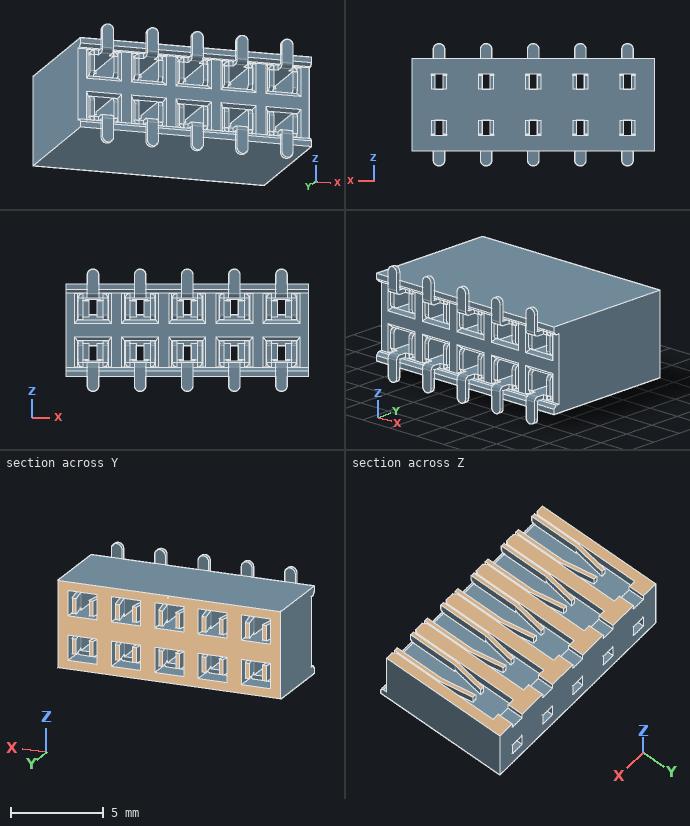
import cadquery as cq

body_width = 13.1
body_depth = 8.4
body_height = 5.0
lead_reach = 0.3
lead_front_y = -(body_depth + lead_reach) / 2
body_front_y = lead_front_y + lead_reach
body_back_y = body_front_y + body_depth

recess_depth = 0.4
recess_half_height = 2.0
lip_chamfer = 0.18
recess_y = body_front_y + recess_depth

columns = 5
pitch = 2.54
cell_half_width = 0.84
cell_inner_z = 0.56
cell_outer_z = 1.98
mouth_chamfer_x = 0.16
mouth_chamfer_z = 0.2
back_wall = 1.0
cell_back_y = body_back_y - back_wall
pin_hole_size = 0.81
pin_hole_z = 1.25

sheet = 0.25
contact_half_width = 0.8
contact_inner_z = 0.58
contact_front_y = recess_y
channel_depth = 3.15
bend_relief = 0.07
beam_length = 2.1
beam_height = 0.89
beam_z = 1.15
beam_gap = 0.4

lead_width = 0.63
lead_tip_z = 3.3

column_x = [(i - (columns - 1) / 2) * pitch for i in range(columns)]


def box(x0, x1, y0, y1, z0, z1):
    """Box between opposite corners."""
    return cq.Workplane("XY").box(x1 - x0, y1 - y0, z1 - z0, centered=False).translate((x0, y0, z0))


def make_body():
    """Block with the chamfered front recess running along its full width."""
    half_height = body_height / 2
    lip_edge_z = recess_half_height + lip_chamfer
    profile = [
        (body_back_y, -half_height),
        (body_front_y, -half_height),
        (body_front_y, -lip_edge_z),
        (body_front_y + lip_chamfer, -recess_half_height),
        (recess_y, -recess_half_height),
        (recess_y, recess_half_height),
        (body_front_y + lip_chamfer, recess_half_height),
        (body_front_y, lip_edge_z),
        (body_front_y, half_height),
        (body_back_y, half_height),
    ]
    return cq.Workplane("YZ").polyline(profile).close().extrude(body_width / 2, both=True)


def make_cell():
    """Space removed for one upper cell: tapered mouth, cavity and pin hole."""
    cavity = box(-cell_half_width, cell_half_width, recess_y, cell_back_y, cell_inner_z, cell_outer_z)

    mouth_half_width = cell_half_width + mouth_chamfer_x
    mouth_inner_z = cell_inner_z - mouth_chamfer_z
    mouth_height = cell_outer_z - mouth_inner_z
    cavity_height = cell_outer_z - cell_inner_z
    mouth = (
        cq.Workplane("XZ", origin=(0, recess_y, 0))
        .center(0, cell_outer_z - mouth_height / 2)
        .rect(2 * mouth_half_width, mouth_height)
        .workplane(offset=-mouth_chamfer_z)
        .center(0, (mouth_height - cavity_height) / 2)
        .rect(2 * cell_half_width, cavity_height)
        .loft(ruled=True)
    )

    half_hole = pin_hole_size / 2
    pin_hole = box(
        -half_hole, half_hole, recess_y, body_back_y, pin_hole_z - half_hole, pin_hole_z + half_hole
    )
    return cavity.union(mouth).union(pin_hole)


def make_channel():
    """U-shaped contact body, open towards the middle web."""
    channel_back_y = contact_front_y + channel_depth
    wall_inner_x = contact_half_width - sheet
    channel = (
        box(
            -contact_half_width, contact_half_width,
            contact_front_y, channel_back_y, contact_inner_z, cell_outer_z,
        )
        .edges("|Y and >Z")
        .fillet(sheet)
        .edges("|X and <Y and <Z")
        .fillet(sheet)
    )
    hollow = box(
        -wall_inner_x, wall_inner_x,
        contact_front_y, channel_back_y, contact_inner_z, cell_outer_z - sheet,
    )
    channel = channel.cut(hollow)
    for x0 in (-contact_half_width, wall_inner_x):
        relief = box(
            x0, x0 + sheet,
            contact_front_y, contact_front_y + bend_relief, cell_outer_z - sheet, cell_outer_z,
        )
        channel = channel.cut(relief)
    return channel


def make_beam():
    """Right-hand spring beam, leaning from the channel wall towards the middle."""
    root_y = contact_front_y + channel_depth
    tip_y = root_y + beam_length
    tip_x = beam_gap / 2
    outline = [
        (contact_half_width, root_y),
        (contact_half_width - sheet, root_y),
        (tip_x, tip_y),
        (tip_x + sheet, tip_y),
    ]
    return (
        cq.Workplane("XY", origin=(0, 0, beam_z - beam_height / 2))
        .polyline(outline)
        .close()
        .extrude(beam_height)
    )


def make_lead():
    """Strip running forward from the channel, then up to a round tip."""
    half_width = lead_width / 2
    foot_z = cell_outer_z - sheet
    strip = box(-half_width, half_width, lead_front_y, contact_front_y, foot_z, cell_outer_z)
    blade = (
        box(-half_width, half_width, lead_front_y, lead_front_y + sheet, foot_z, lead_tip_z - half_width)
        .union(
            cq.Workplane("XZ", origin=(0, lead_front_y, lead_tip_z - half_width))
            .circle(half_width)
            .extrude(-sheet)
        )
    )
    return strip.union(blade).edges("|X and <Y and <Z").fillet(sheet)


def make_contact():
    """Complete upper contact."""
    beam = make_beam()
    return make_channel().union(beam).union(beam.mirror("YZ")).union(make_lead())


def place_all(base, feature, combine):
    """Apply an upper-row feature to every column of both rows."""
    for row_feature in (feature, feature.mirror("XY")):
        for x in column_x:
            base = combine(base, row_feature.translate((x, 0, 0)))
    return base


result = place_all(make_body(), make_cell(), cq.Workplane.cut)
result = place_all(result, make_contact(), cq.Workplane.union)